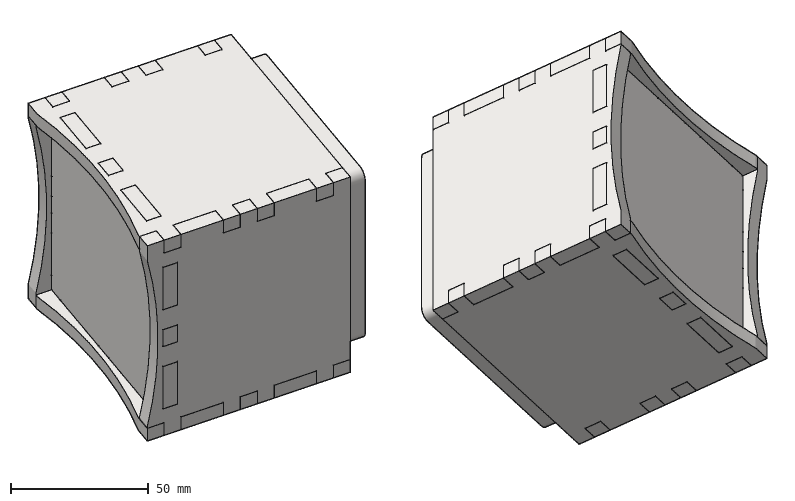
import cadquery as cq

sleeve_width = 92.2
sleeve_depth = 83.6
wall_thickness = 6.1
wall_count = 4
half_width = sleeve_width / 2
inner_half_width = half_width - wall_thickness

corner_flat = 7.0
front_scoop_depth = 4.4

finger_width = 6.9
joint_clearance = 0.05
inner_finger_offset = 7.0
outer_finger_offset = 31.4
finger_offsets = [-outer_finger_offset, -inner_finger_offset, inner_finger_offset, outer_finger_offset]

panel_setback = 6.4
panel_mid_y = panel_setback + wall_thickness / 2
centre_tab_width = 7.9
side_tab_width = 19.95
side_tab_offset = 23.4
panel_tabs = [
    (-side_tab_offset, side_tab_width),
    (0, centre_tab_width),
    (side_tab_offset, side_tab_width),
]

overall_depth = 93.2
block_width = 79.4
block_corner_radius = 4.0
block_front_y = panel_setback + wall_thickness


def turned(shape, quarter_turns):
    """Turn a shape about the Y axis by whole quarter turns."""
    return shape.rotate((0, 0, 0), (0, 1, 0), 90 * quarter_turns)


def wall_box(x_size, y_size, x_mid, y_mid):
    """A box that fills the thickness of the top wall."""
    z_mid = half_width - wall_thickness / 2
    return cq.Workplane("XY").box(x_size, y_size, wall_thickness).translate((x_mid, y_mid, z_mid))


def wall_blank():
    """The top wall without joints: plain left end, right end cut back, scooped front edge."""
    scoop_half_width = half_width - corner_flat
    outline = (
        cq.Workplane("XY", origin=(0, 0, inner_half_width))
        .moveTo(-half_width, 0)
        .lineTo(-scoop_half_width, 0)
        .threePointArc((0, front_scoop_depth), (scoop_half_width, 0))
        .lineTo(inner_half_width, 0)
        .lineTo(inner_half_width, sleeve_depth)
        .lineTo(-half_width, sleeve_depth)
        .close()
    )
    return outline.extrude(wall_thickness)


def make_wall():
    """The top wall: notches at the left end, fingers at the right end, slots for the panel tabs."""
    wall = wall_blank()
    end_mid_x = half_width - wall_thickness / 2
    for offset in finger_offsets:
        finger_y = sleeve_depth / 2 + offset
        notch_width = finger_width + 2 * joint_clearance
        wall = wall.cut(wall_box(wall_thickness, notch_width, -end_mid_x, finger_y))
        wall = wall.union(wall_box(wall_thickness, finger_width, end_mid_x, finger_y))
    for offset, tab_width in panel_tabs:
        slot_width = tab_width + 2 * joint_clearance
        wall = wall.cut(wall_box(slot_width, wall_thickness, offset, panel_mid_y))
    return wall


def make_front_panel():
    """A square panel with three tabs on each edge."""
    inner_width = 2 * inner_half_width
    panel = cq.Workplane("XY").box(inner_width, wall_thickness, inner_width).translate((0, panel_mid_y, 0))
    for quarter_turns in range(wall_count):
        for offset, tab_width in panel_tabs:
            tab = wall_box(tab_width, wall_thickness, offset, panel_mid_y)
            panel = panel.union(turned(tab, quarter_turns))
    return panel


def make_block():
    """A square block with rounded long edges, standing out of the back of the sleeve."""
    block_depth = overall_depth - block_front_y
    block_mid_y = block_front_y + block_depth / 2
    block = cq.Workplane("XY").box(block_width, block_depth, block_width)
    return block.edges("|Y").fillet(block_corner_radius).translate((0, block_mid_y, 0))


walls = [turned(make_wall(), quarter_turns) for quarter_turns in range(wall_count)]
front_panel = make_front_panel()
block = make_block()

result = cq.Compound.makeCompound([*[wall.val() for wall in walls], front_panel.val(), block.val()])